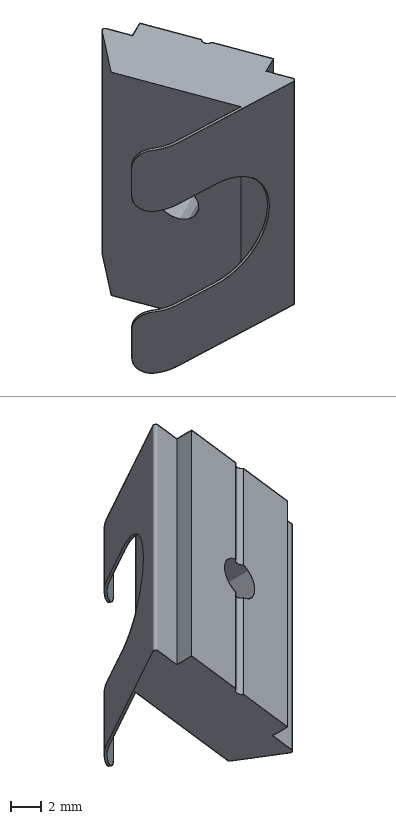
import cadquery as cq
import math

length = 20.0
rail_half_width = 4.78
shoulder_y = -1.32
face_y = -5.22
flank_angle = math.radians(60)
flange_sharp_half_width = 7.005
flange_radius = 0.2
front_edge_radius = 0.15

groove_radius = 0.4
groove_depth = 0.25
hole_diameter = 3.0

spring_thickness = 0.2
bend_start_y = -10.12
bend_radius = 3.45
tail_angle = math.radians(26)
tail_length = 1.15
root_y = -3.0
tip_radius = 1.5
window_radius = 4.5
window_end_x = 5.82
slot_length = 12.0
clearance_y = -8.0

flank_run = (shoulder_y - face_y) / math.tan(flank_angle)
face_half_width = flange_sharp_half_width - flank_run


def flank_x(y):
    """X of the +X flank plane at a given Y."""
    return face_half_width + (y - face_y) / math.tan(flank_angle)


def flank_y(x):
    """Y of the +X flank plane at a given X."""
    return face_y + (x - face_half_width) * math.tan(flank_angle)


def strip_normal(angle):
    """Unit vector towards the outer side of the strip where it runs at this angle to X."""
    return (math.sin(angle), -math.cos(angle))


flank_normal = strip_normal(flank_angle)
bend_center_x = flank_x(bend_start_y) - bend_radius * flank_normal[0]
bend_center_y = bend_start_y - bend_radius * flank_normal[1]


def bend_point(radius, angle):
    normal = strip_normal(angle)
    return (bend_center_x + radius * normal[0], bend_center_y + radius * normal[1])


def tip_point(radius):
    """End of the straight tail that continues the bend arc of this radius."""
    x, y = bend_point(radius, tail_angle)
    return (x - tail_length * math.cos(tail_angle), y - tail_length * math.sin(tail_angle))


def make_block():
    outline = [
        (-rail_half_width, 0),
        (rail_half_width, 0),
        (rail_half_width, shoulder_y),
        (flange_sharp_half_width, shoulder_y),
        (face_half_width, face_y),
        (-face_half_width, face_y),
        (-flange_sharp_half_width, shoulder_y),
        (-rail_half_width, shoulder_y),
    ]
    block = cq.Workplane("XY").polyline(outline).close().extrude(length)
    block = block.edges("|Z and (>X or <X)").fillet(flange_radius)
    block = block.edges(cq.selectors.NearestToPointSelector((-face_half_width, face_y, length / 2)))
    block = block.fillet(front_edge_radius)
    groove = (
        cq.Workplane("XY")
        .center(0, groove_radius - groove_depth)
        .circle(groove_radius)
        .extrude(length)
    )
    return block.cut(groove)


def make_spring():
    inner_radius = bend_radius - spring_thickness
    middle_angle = (flank_angle + tail_angle) / 2
    root_outer = (flank_x(root_y), root_y)
    root_inner = (
        root_outer[0] - spring_thickness * flank_normal[0],
        root_outer[1] - spring_thickness * flank_normal[1],
    )
    return (
        cq.Workplane("XY")
        .moveTo(*root_outer)
        .lineTo(*bend_point(bend_radius, flank_angle))
        .threePointArc(bend_point(bend_radius, middle_angle), bend_point(bend_radius, tail_angle))
        .lineTo(*tip_point(bend_radius))
        .lineTo(*tip_point(inner_radius))
        .lineTo(*bend_point(inner_radius, tail_angle))
        .threePointArc(bend_point(inner_radius, middle_angle), bend_point(inner_radius, flank_angle))
        .lineTo(*root_inner)
        .close()
        .extrude(length)
    )


def make_window():
    """Round-ended slot, one strip thickness deep, that splits the spring into two legs."""
    flank_plane = cq.Plane(
        origin=(window_end_x, flank_y(window_end_x), length / 2),
        xDir=(-math.cos(flank_angle), -math.sin(flank_angle), 0),
        normal=(*flank_normal, 0),
    )
    slot = (
        cq.Workplane(flank_plane)
        .moveTo(window_radius, window_radius)
        .threePointArc((0, 0), (window_radius, -window_radius))
        .lineTo(slot_length, -window_radius)
        .lineTo(slot_length, window_radius)
        .close()
        .extrude(-spring_thickness)
    )
    bend_clearance = (
        cq.Workplane("XY")
        .box(2 * flange_sharp_half_width, slot_length, 2 * window_radius)
        .translate((0, clearance_y - slot_length / 2, length / 2))
    )
    return slot.union(bend_clearance)


def make_tip_corner(corner_z, inward):
    """Waste at one tip corner; inward is +1 or -1, the Z direction into the leg."""
    tip_plane = cq.Plane(
        origin=(*tip_point(bend_radius), corner_z),
        xDir=(math.cos(tail_angle), math.sin(tail_angle), 0),
        normal=(*strip_normal(tail_angle), 0),
    )
    arc_offset = tip_radius * (1 - math.sqrt(0.5))
    return (
        cq.Workplane(tip_plane)
        .lineTo(tip_radius, 0)
        .threePointArc((arc_offset, inward * arc_offset), (0, inward * tip_radius))
        .close()
        .extrude(2 * spring_thickness, both=True)
    )


def round_leg_tips(spring):
    leg_height = length / 2 - window_radius
    for bottom in (0, length - leg_height):
        spring = spring.cut(make_tip_corner(bottom, 1))
        spring = spring.cut(make_tip_corner(bottom + leg_height, -1))
    return spring


hole = cq.Workplane("XZ").center(0, length / 2).circle(hole_diameter / 2).extrude(-face_y)
window = make_window()
legs = round_leg_tips(make_spring().cut(window))
result = make_block().cut(window).cut(hole).union(legs)